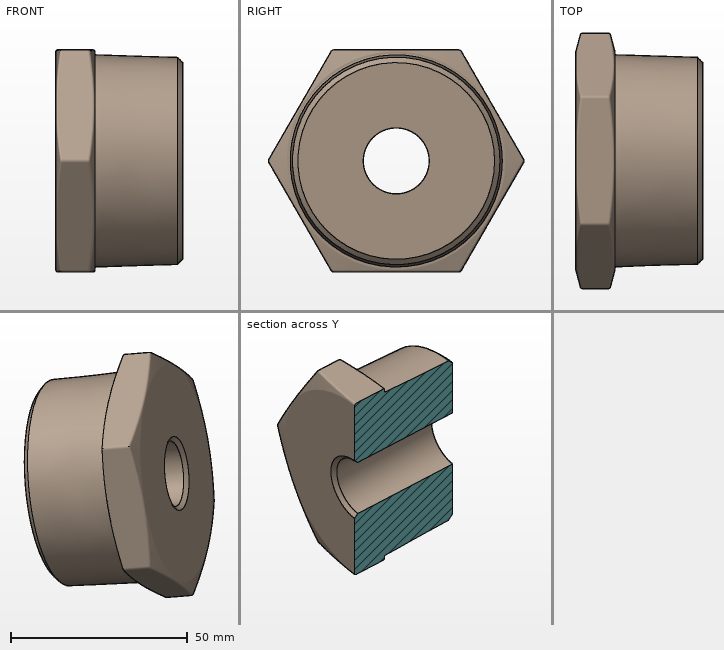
import cadquery as cq
import math

across_flats = 63.0
head_length = 11.15
corner_radius = 1.1
face_diameter = 61.85
head_chamfer_angle = 15.0
rim_radius = 0.7
edge_radius = 0.65

total_length = 36.0
spigot_diameter = 60.1
root_fillet_radius = 0.35
taper_start = 12.6
taper_ratio = 1 / 16
end_chamfer = 1.5

bore_diameter = 18.6
mouth_diameter = 21.0


def revolve_about_x(outline):
    """Solid of revolution about X from a closed outline in (x, radius)."""
    return outline.close().revolve(360, (0, 0, 0), (1, 0, 0))


def hex_head():
    """Hexagon with conical chamfers on both ends and all edges rounded."""
    corner_diameter = across_flats / math.cos(math.pi / 6)
    prism = (
        cq.Workplane("YZ")
        .polygon(6, corner_diameter)
        .extrude(head_length)
        .edges("|X")
        .fillet(corner_radius)
    )
    face_radius = face_diameter / 2
    outer_radius = corner_diameter / 2
    chamfer_depth = (outer_radius - face_radius) * math.tan(math.radians(head_chamfer_angle))
    chamfer_envelope = revolve_about_x(
        cq.Workplane("XY")
        .lineTo(0, face_radius)
        .lineTo(chamfer_depth, outer_radius)
        .lineTo(head_length - chamfer_depth, outer_radius)
        .lineTo(head_length, face_radius)
        .lineTo(head_length, 0)
    )
    head = prism.intersect(chamfer_envelope)
    head = head.edges("%CIRCLE").fillet(rim_radius)
    return head.edges("%HYPERBOLA or %BSPLINE").fillet(edge_radius)


def spigot():
    """Tapered spigot, rooted inside the head and blended into its back by a concave fillet."""
    radius = spigot_diameter / 2
    root_x = head_length / 2
    root_radius = radius + root_fillet_radius
    taper_end = total_length - end_chamfer
    taper_end_radius = radius - (taper_end - taper_start) * taper_ratio / 2
    return revolve_about_x(
        cq.Workplane("XY")
        .moveTo(root_x, 0)
        .lineTo(root_x, root_radius)
        .lineTo(head_length, root_radius)
        .radiusArc((head_length + root_fillet_radius, radius), -root_fillet_radius)
        .lineTo(taper_start, radius)
        .lineTo(taper_end, taper_end_radius)
        .lineTo(total_length, taper_end_radius - end_chamfer)
        .lineTo(total_length, 0)
    )


def bore():
    """Cutting body for the through bore and its countersunk mouth in the head."""
    bore_radius = bore_diameter / 2
    mouth_radius = mouth_diameter / 2
    mouth_depth = mouth_radius - bore_radius
    return revolve_about_x(
        cq.Workplane("XY")
        .lineTo(0, mouth_radius)
        .lineTo(mouth_depth, bore_radius)
        .lineTo(total_length, bore_radius)
        .lineTo(total_length, 0)
    )


result = hex_head().union(spigot()).cut(bore())